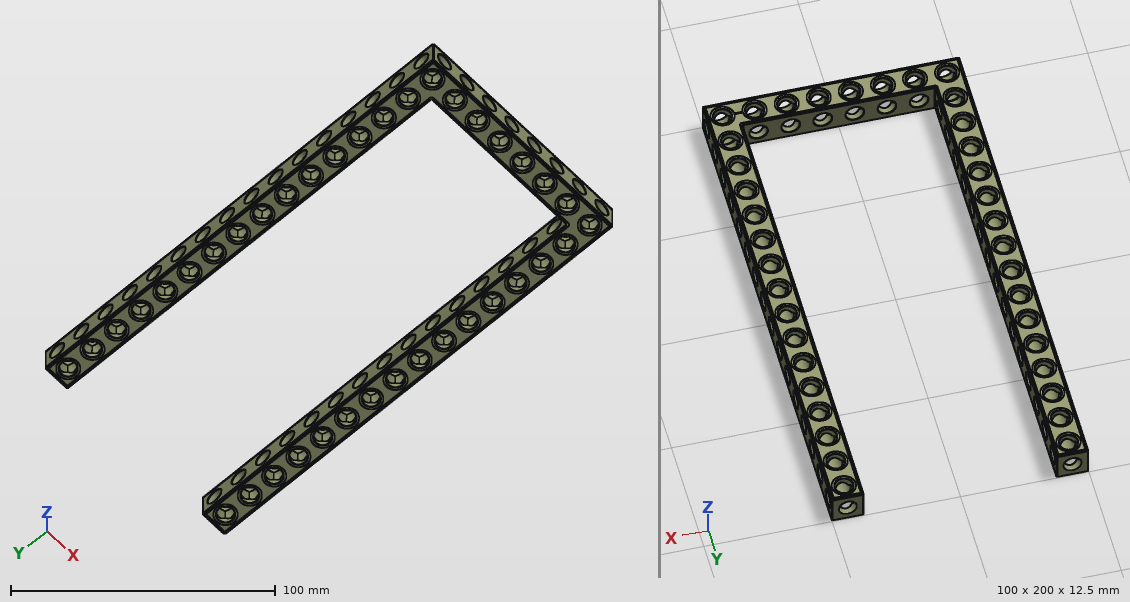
import cadquery as cq

pitch = 12.5
columns = 8
rows = 16
width = columns * pitch
length = rows * pitch
height = 12.5
edge_chamfer = 0.5

rim_width = 1.0
recess_depth = 0.2

bore_diameter = 7.0
lead_in = 0.2
counterbore_diameter = 9.2
counterbore_depth = 0.2

groove_width = 0.5
groove_depth = 0.2

column_places = [(i + 0.5) * pitch for i in range(columns)]
row_places = [(j + 0.5) * pitch for j in range(rows)]
leg_columns = (column_places[0], column_places[-1])
crossbar_row = row_places[0]
middle = height / 2
recess_floor = height - recess_depth


def frame_outline():
    """Closed U outline, open towards +Y."""
    return (
        cq.Workplane("XY")
        .polyline(
            [
                (0, 0),
                (width, 0),
                (width, length),
                (width - pitch, length),
                (width - pitch, pitch),
                (pitch, pitch),
                (pitch, length),
                (0, length),
            ]
        )
        .close()
    )


def make_frame():
    """Chamfered U with a rimmed recess in its upper and lower faces."""
    body = frame_outline().extrude(height).edges().chamfer(edge_chamfer)
    recess = frame_outline().offset2D(-rim_width).extrude(recess_depth)
    return body.cut(recess).cut(recess.translate((0, 0, recess_floor)))


def bore_cutter(depth, mouth_depth, mouth_diameter=None):
    """Bore of the given depth along Z from the origin, the same at both ends.

    Each end has a lead-in chamfer, sunk by mouth_depth when there is a wider mouth.
    """
    bore_radius = bore_diameter / 2
    end_profile = [(bore_radius + lead_in, mouth_depth), (bore_radius, mouth_depth + lead_in)]
    if mouth_diameter:
        mouth_radius = mouth_diameter / 2
        end_profile = [(mouth_radius, 0), (mouth_radius, mouth_depth)] + end_profile
    other_end = [(radius, depth - z) for radius, z in reversed(end_profile)]
    profile = [(0, 0)] + end_profile + other_end + [(0, depth)]
    return cq.Workplane("XZ").polyline(profile).close().revolve(360, (0, 0, 0), (0, 1, 0)).val()


def copies(cutter, places):
    """Copies of a cutter moved to each (x, y, z) place."""
    return [cutter.moved(cq.Location(cq.Vector(*place))) for place in places]


def vertical_bores():
    """Counterbored holes along Z in the legs and the crossbar."""
    cutter = bore_cutter(height, recess_depth + counterbore_depth, counterbore_diameter)
    legs = [(x, y, 0) for x in leg_columns for y in row_places]
    crossbar = [(x, crossbar_row, 0) for x in column_places[1:-1]]
    return copies(cutter, legs + crossbar)


def cross_bores():
    """Holes along X through each leg and along Y through the crossbar."""
    cutter = bore_cutter(pitch, 0)
    origin = cq.Vector(0, 0, 0)
    along_x = cutter.rotate(origin, cq.Vector(0, 1, 0), 90)
    along_y = cutter.rotate(origin, cq.Vector(1, 0, 0), -90)
    leg_places = [(x, y, middle) for x in (0, width - pitch) for y in row_places]
    crossbar_places = [(x, 0, middle) for x in column_places]
    return copies(along_x, leg_places) + copies(along_y, crossbar_places)


def lengthwise_bores():
    """Bores running through the full length of both legs and of the crossbar."""
    radius = bore_diameter / 2
    legs = [
        cq.Solid.makeCylinder(radius, length, cq.Vector(x, 0, middle), cq.Vector(0, 1, 0))
        for x in leg_columns
    ]
    crossbar = cq.Solid.makeCylinder(radius, width, cq.Vector(0, crossbar_row, middle), cq.Vector(1, 0, 0))
    return legs + [crossbar]


def link_groove():
    """Narrow groove in the upper face joining the last two crossbar counterbores."""
    start, end = column_places[-2:]
    groove = cq.Workplane("XY").box(end - start, groove_width, groove_depth, centered=(True, True, False))
    return groove.translate(((start + end) / 2, crossbar_row, recess_floor - groove_depth)).val()


cutters = vertical_bores() + cross_bores() + lengthwise_bores() + [link_groove()]
result = cq.Workplane("XY").newObject([make_frame().val().cut(*cutters)])